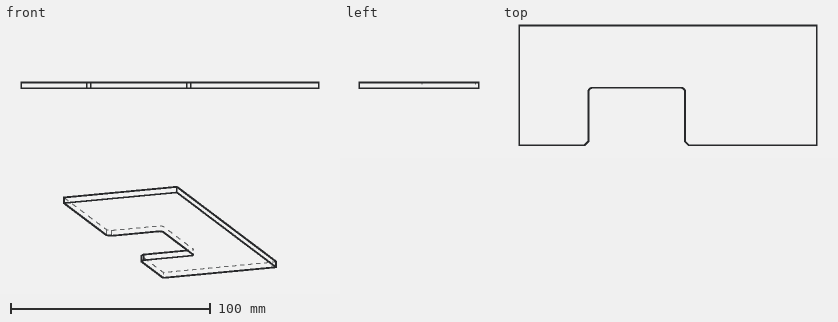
import cadquery as cq

length = 149.0
width = 60.0
thickness = 3.0

notch_left = 34.7
notch_right = 83.0
notch_depth = 28.8
corner_radius = 2.0
mouth_chamfer = 2.0

outline = (
    cq.Workplane("XY")
    .moveTo(0, 0)
    .lineTo(notch_left, 0)
    .lineTo(notch_left, notch_depth)
    .lineTo(notch_right, notch_depth)
    .lineTo(notch_right, 0)
    .lineTo(length, 0)
    .lineTo(length, width)
    .lineTo(0, width)
    .close()
)
plate = outline.extrude(thickness)


def notch_edges(body, y):
    """Select the two vertical edges of the notch at depth y."""
    near_y = cq.selectors.BoxSelector(
        (notch_left - 1.5, y - 1.5, -1.5),
        (notch_right + 1.5, y + 1.5, thickness + 1.5),
    )
    return body.edges("|Z").edges(near_y)


plate = notch_edges(plate, notch_depth).fillet(corner_radius)
result = notch_edges(plate, 0).chamfer(mouth_chamfer)